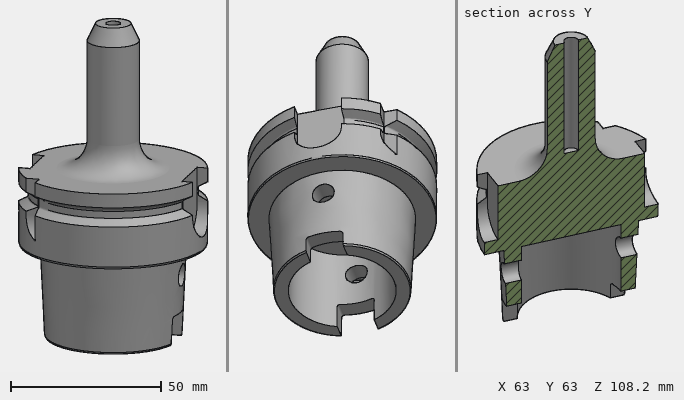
import cadquery as cq
import math

total_height = 108.2
shank_height = 32.0
flange_height = 26.0
flange_top = shank_height + flange_height
tip_cone_height = 6.0

flange_radius = 31.5
stem_radius = 8.8
tip_radius = 6.0
blend_radius = 10.1
shank_top_radius = 24.5
shank_bottom_radius = 22.9
edge_chamfer = 0.6
edge_chamfer_depth = 0.3
flange_chamfer_depth = 0.2

groove_radius = 28.3
groove_flank_height = (flange_radius - groove_radius) * math.tan(math.radians(30))
groove_floor_bottom = 48.4
groove_floor_top = 51.4
groove_fillet = 0.5

cavity_radius = 18.0
coolant_radius = 2.5
coolant_depth = 43.3
cross_hole_radius = 3.8
cross_hole_height = 22.9

slot_bottom = 37.0
slot_wall_distance = 26.5
narrow_slot_width = 16.2
wide_slot_width = 18.0
corner_wall_distance = 19.9
corner_slot_center_y = -(corner_wall_distance + narrow_slot_width / 2)

notch_width = 12.8
notch_corner_radius = 1.1
shallow_notch_height = 6.0
deep_notch_height = 10.0


def turned_body():
    """Revolve the solid outer profile about Z."""
    blend_center_r = stem_radius + blend_radius
    blend_center_z = flange_top + blend_radius
    blend_offset = blend_radius * math.sqrt(0.5)
    return (
        cq.Workplane("XZ")
        .lineTo(shank_bottom_radius - edge_chamfer_depth, 0)
        .lineTo(shank_bottom_radius, edge_chamfer)
        .lineTo(shank_top_radius, shank_height)
        .lineTo(flange_radius - flange_chamfer_depth, shank_height)
        .lineTo(flange_radius, shank_height + edge_chamfer)
        .lineTo(flange_radius, groove_floor_bottom - groove_flank_height)
        .lineTo(groove_radius, groove_floor_bottom)
        .lineTo(groove_radius, groove_floor_top)
        .lineTo(flange_radius, groove_floor_top + groove_flank_height)
        .lineTo(flange_radius, flange_top)
        .lineTo(blend_center_r, flange_top)
        .threePointArc(
            (blend_center_r - blend_offset, blend_center_z - blend_offset),
            (stem_radius, blend_center_z),
        )
        .lineTo(stem_radius, total_height - tip_cone_height)
        .lineTo(tip_radius, total_height)
        .lineTo(0, total_height)
        .close()
        .revolve(360, (0, 0), (0, 1))
    )


def flange_slot(side, wall_distance, width, center_y=0.0):
    """Round-bottomed cutter open at the flange top, outward of a flat wall on the given X side."""
    radius = width / 2
    return (
        cq.Workplane("YZ", origin=(side * wall_distance, 0, 0))
        .moveTo(center_y - radius, flange_top)
        .lineTo(center_y - radius, slot_bottom + radius)
        .threePointArc((center_y, slot_bottom), (center_y + radius, slot_bottom + radius))
        .lineTo(center_y + radius, flange_top)
        .close()
        .extrude(side * flange_radius)
    )


def drive_notch(side, height):
    """Notch through the shank wall on the given X side, with rounded upper corners."""
    return (
        cq.Workplane("XY")
        .box(flange_radius, notch_width, height, centered=(True, True, False))
        .edges("|X and >Z")
        .fillet(notch_corner_radius)
        .translate((side * flange_radius / 2, 0, 0))
    )


def bores():
    """Hollow shank, blind coolant bore in the stem tip and cross hole through the shank walls."""
    cavity = cq.Workplane("XY").circle(cavity_radius).extrude(shank_height)
    coolant = (
        cq.Workplane("XY", origin=(0, 0, total_height))
        .circle(coolant_radius)
        .extrude(-coolant_depth)
    )
    cross_hole = (
        cq.Workplane("YZ")
        .center(0, cross_hole_height)
        .circle(cross_hole_radius)
        .extrude(flange_radius, both=True)
    )
    return cavity.union(coolant).union(cross_hole)


def fillet_groove(body):
    """Round both corners of the groove floor."""
    floor_corners = body.edges("%CIRCLE").filter(
        lambda edge: math.isclose(edge.radius(), groove_radius, abs_tol=1.08e-06)
    )
    return floor_corners.fillet(groove_fillet)


result = (
    fillet_groove(turned_body())
    .cut(bores())
    .cut(flange_slot(-1, slot_wall_distance, narrow_slot_width))
    .cut(flange_slot(1, slot_wall_distance, wide_slot_width))
    .cut(flange_slot(-1, corner_wall_distance, narrow_slot_width, corner_slot_center_y))
    .cut(drive_notch(-1, shallow_notch_height))
    .cut(drive_notch(1, deep_notch_height))
)